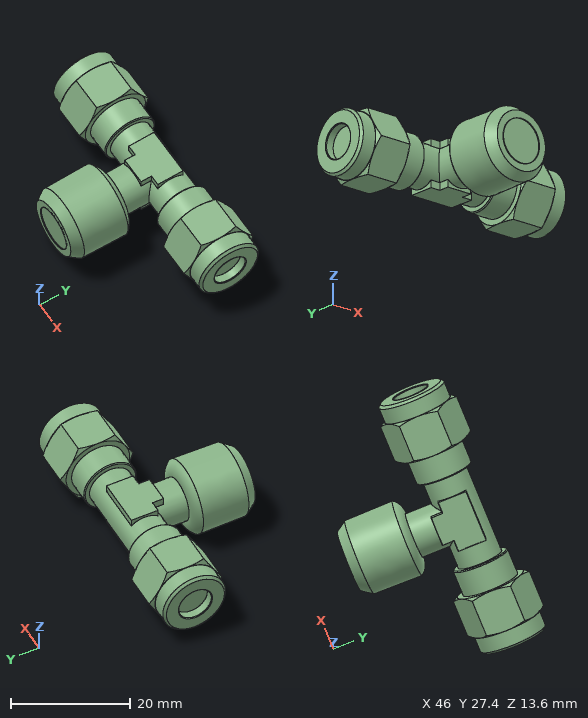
import cadquery as cq
import math

overall_length = 46.0
run_end = overall_length / 2
pipe_radius = 3.95

hex_flats = 12.0
hex_corner_radius = hex_flats / math.sqrt(3)
hex_inner_x = 12.55
hex_outer_x = 19.83
hex_chamfer_length = 0.45
hex_chamfer_radius = hex_flats / 2
cap_radius = 5.95
cap_chamfer = 0.45
collar_radius = 4.95
collar_inner_x = 7.95
collar_chamfer = 0.2
tube_bore_radius = 3.1
tube_bore_depth = 1.6
bore_lip = 0.15

overall_width = 27.4
branch_end = overall_width - hex_corner_radius
plug_start = 8.7
plug_shoulder = 9.95
plug_taper_end = 18.6
plug_shoulder_mid = 9.25
plug_shoulder_mid_radius = 6.1
plug_radius = 13.55 / 2
plug_taper_radius = 6.65
plug_tip_radius = 5.4
plug_bore_radius = 4.0
plug_bore_depth = 0.2

pad_half_length = 4.5
pad_half_width = 2.55
pad_stem_reach = 4.6
pad_height = 8.85


def revolve_about_x(profile):
    """Turn a closed (x, radius) profile around the X axis."""
    return profile.close().revolve(360, (0, 0, 0), (1, 0, 0))


def hexagon():
    """Hexagonal prism with corners on +Y and -Y, both ends chamfered by a cone."""
    prism = (
        cq.Workplane("YZ", origin=(hex_inner_x, 0, 0))
        .polygon(6, 2 * hex_corner_radius)
        .extrude(hex_outer_x - hex_inner_x)
    )
    chamfer_envelope = revolve_about_x(
        cq.Workplane("XY")
        .moveTo(hex_inner_x, 0)
        .lineTo(hex_inner_x, hex_chamfer_radius)
        .lineTo(hex_inner_x + hex_chamfer_length, hex_corner_radius)
        .lineTo(hex_outer_x - hex_chamfer_length, hex_corner_radius)
        .lineTo(hex_outer_x, hex_chamfer_radius)
        .lineTo(hex_outer_x, 0)
    )
    return prism.intersect(chamfer_envelope)


def tube_end():
    """Pipe half, collar, nut and cap on the +X side."""
    turned = revolve_about_x(
        cq.Workplane("XY")
        .moveTo(0, 0)
        .lineTo(0, pipe_radius)
        .lineTo(collar_inner_x, pipe_radius)
        .lineTo(collar_inner_x, collar_radius - collar_chamfer)
        .lineTo(collar_inner_x + collar_chamfer, collar_radius)
        .lineTo(hex_outer_x, collar_radius)
        .lineTo(hex_outer_x, cap_radius)
        .lineTo(run_end - cap_chamfer, cap_radius)
        .lineTo(run_end, cap_radius - cap_chamfer)
        .lineTo(run_end, 0)
    )
    bore = revolve_about_x(
        cq.Workplane("XY")
        .moveTo(run_end, 0)
        .lineTo(run_end, tube_bore_radius + bore_lip)
        .lineTo(run_end - bore_lip, tube_bore_radius)
        .lineTo(run_end - tube_bore_depth, tube_bore_radius)
        .lineTo(run_end - tube_bore_depth, 0)
    )
    return turned.union(hexagon()).cut(bore)


def branch():
    """Stem and plug, with a rounded shoulder, a slight taper and a bevelled tip."""
    bore_floor = branch_end - plug_bore_depth
    return (
        cq.Workplane("XY")
        .moveTo(0, 0)
        .lineTo(pipe_radius, 0)
        .lineTo(pipe_radius, -plug_start)
        .threePointArc((plug_shoulder_mid_radius, -plug_shoulder_mid), (plug_radius, -plug_shoulder))
        .lineTo(plug_taper_radius, -plug_taper_end)
        .lineTo(plug_tip_radius, -branch_end)
        .lineTo(plug_bore_radius, -branch_end)
        .lineTo(plug_bore_radius, -bore_floor)
        .lineTo(0, -bore_floor)
        .close()
        .revolve(360, (0, 0, 0), (0, 1, 0))
    )


def junction_pad():
    """Tee-shaped block whose flat faces stand just proud of the pipes, above and below."""
    bar = cq.Workplane("XY").box(2 * pad_half_length, 2 * pad_half_width, pad_height)
    stem = (
        cq.Workplane("XY")
        .box(2 * pad_half_width, pad_stem_reach, pad_height)
        .translate((0, -pad_stem_reach / 2, 0))
    )
    return bar.union(stem)


right_end = tube_end()
left_end = right_end.mirror("YZ")
result = right_end.union(left_end).union(branch()).union(junction_pad())